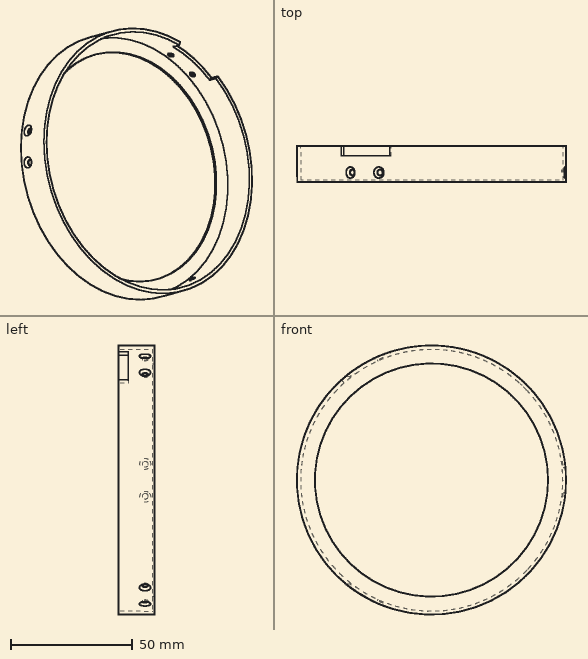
import cadquery as cq
import math

outer_radius = 55.5
ring_width = 15.0
wall_thickness = 1.5
flange_bore_radius = 48.0
flange_thickness = 1.0

pair_angles = (0.0, 120.0, 240.0)
hole_half_spacing_angle = 7.0
hole_offset_from_front = 4.0
hole_diameter = 2.4
countersink_diameter = 4.6
countersink_angle = 90.0

notch_center_angle = 120.0
notch_half_angle = 12.0
notch_depth = 4.0

cut_clearance = 1.0

wall_inner_radius = outer_radius - wall_thickness


def polar_point(radius, angle):
    """Point (x, z) at a radius and an angle measured from +X towards +Z."""
    angle_rad = math.radians(angle)
    return radius * math.cos(angle_rad), radius * math.sin(angle_rad)


def make_ring():
    """L-shaped section revolved about Y: thin outer wall with an inward front flange."""
    section = (
        cq.Workplane("XY")
        .moveTo(flange_bore_radius, 0)
        .lineTo(outer_radius, 0)
        .lineTo(outer_radius, ring_width)
        .lineTo(wall_inner_radius, ring_width)
        .lineTo(wall_inner_radius, flange_thickness)
        .lineTo(flange_bore_radius, flange_thickness)
        .close()
    )
    return section.revolve(360, (0, 0, 0), (0, 1, 0))


def make_hole_cutter(angle):
    """Radial through hole with a conical countersink opening at the outer surface."""
    half_angle = math.radians(countersink_angle / 2)
    hole_radius = hole_diameter / 2
    mouth_radius = countersink_diameter / 2
    cone_depth = (mouth_radius - hole_radius) / math.tan(half_angle)
    top_radius = mouth_radius + cut_clearance * math.tan(half_angle)
    hole_bottom = wall_inner_radius - cut_clearance
    cutter_top = outer_radius + cut_clearance
    profile = (
        cq.Workplane("XY")
        .moveTo(hole_bottom, 0)
        .lineTo(hole_bottom, hole_radius)
        .lineTo(outer_radius - cone_depth, hole_radius)
        .lineTo(cutter_top, top_radius)
        .lineTo(cutter_top, 0)
        .close()
    )
    cutter = profile.revolve(360, (0, 0, 0), (1, 0, 0))
    return cutter.rotate((0, 0, 0), (0, -1, 0), angle).translate((0, hole_offset_from_front, 0))


def make_notch_cutter():
    """Wedge, pointing at the ring axis, that removes the back edge of the wall."""
    wedge_radius = (outer_radius + cut_clearance) / math.cos(math.radians(notch_half_angle))
    wedge_length = notch_depth + cut_clearance
    wedge = (
        cq.Workplane("XZ", origin=(0, ring_width - notch_depth, 0))
        .moveTo(0, 0)
        .lineTo(*polar_point(wedge_radius, notch_center_angle - notch_half_angle))
        .lineTo(*polar_point(wedge_radius, notch_center_angle + notch_half_angle))
        .close()
    )
    return wedge.extrude(-wedge_length)


result = make_ring().cut(make_notch_cutter())
for pair_angle in pair_angles:
    for side in (-1, 1):
        result = result.cut(make_hole_cutter(pair_angle + side * hole_half_spacing_angle))